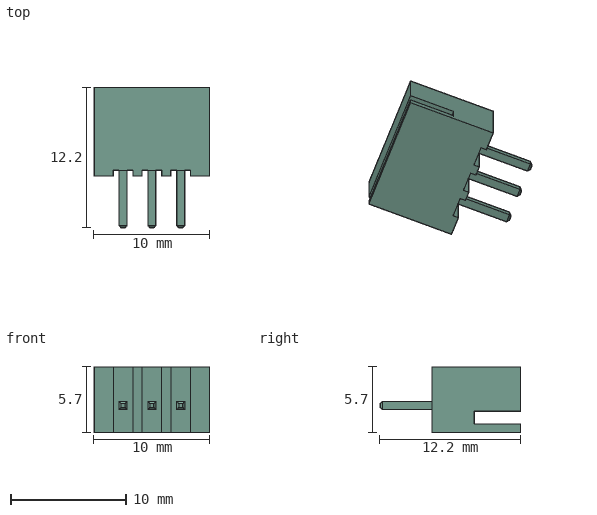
import cadquery as cq

housing_width = 10.0
housing_depth = 7.7
housing_height = 5.7

total_length = 12.2
pin_count = 3
pin_pitch = 2.5
pin_size = 0.71
pin_height = 2.34
pin_tip_length = 0.22
pin_tip_size = 0.32
pin_reach = total_length - housing_depth
groove_width = 1.7
groove_depth = 0.5

slot_bottom = 0.75
slot_top = 1.84
slot_depth = 4.01

pin_positions = [(i - (pin_count - 1) / 2) * pin_pitch for i in range(pin_count)]


def block(width, depth, height, x_center, y_start, z_start):
    """Box centred on x_center, growing toward +Y and +Z."""
    return (
        cq.Workplane("XY")
        .box(width, depth, height, centered=(True, False, False))
        .translate((x_center, y_start, z_start))
    )


def pin(x_center):
    """Square pin rooted in its groove floor, with a tapered tip."""
    shaft_length = pin_reach - pin_tip_length + groove_depth
    shaft = block(
        pin_size, shaft_length, pin_size,
        x_center, groove_depth - shaft_length, pin_height - pin_size / 2,
    )
    tip = (
        cq.Workplane("XZ", origin=(x_center, pin_tip_length - pin_reach, pin_height))
        .rect(pin_size, pin_size)
        .workplane(offset=pin_tip_length)
        .rect(pin_tip_size, pin_tip_size)
        .loft(ruled=True)
    )
    return shaft.union(tip)


housing = block(housing_width, housing_depth, housing_height, 0, 0, 0)
slot = block(
    housing_width, slot_depth, slot_top - slot_bottom,
    0, housing_depth - slot_depth, slot_bottom,
)
result = housing.cut(slot)

for x in pin_positions:
    groove = block(groove_width, groove_depth, housing_height, x, 0, 0)
    result = result.cut(groove).union(pin(x))